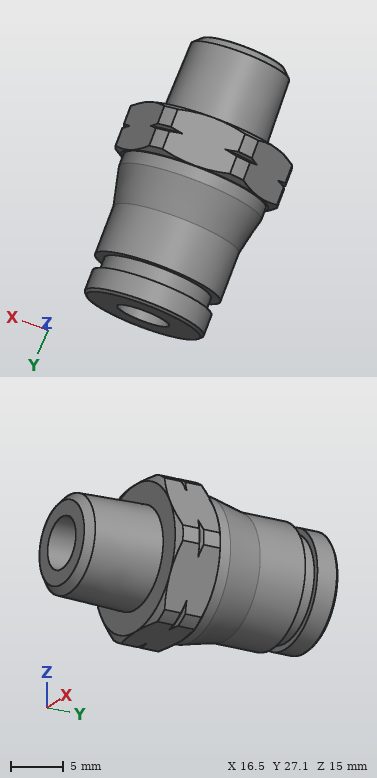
import cadquery as cq
import math

length = 27.1
tip_chamfer_length = 0.75
hex_length = 4.99
hex_front = 8.13
hex_back = hex_front + hex_length
collar_back = 14.35
flare_back = 18.15
body_back = 23.17
cap_length = 2.38
cap_chamfer = 0.27

bore_radius = 2.65
tip_radius = 4.23
thread_end_radius = 5.0
thread_taper = 1 / 16
collar_radius = 7.25
body_radius = 6.4
neck_radius = 5.45
cap_radius = 6.07

across_flats = 15.0
across_corners = 16.5
hex_chamfer_angle = 30.0
groove_depth = 0.43
groove_width = 0.45


def thread_radius(y):
    """Radius of the tapered thread at distance y from the tip."""
    return thread_end_radius + (y - tip_chamfer_length) * thread_taper / 2


def revolve_about_y(profile):
    return profile.close().revolve(360, (0, 0, 0), (0, 1, 0))


def turned_body():
    """Tapered thread, collar, conical shoulder, body, neck and release cap."""
    return revolve_about_y(
        cq.Workplane("XY")
        .moveTo(0, 0)
        .lineTo(tip_radius, 0)
        .lineTo(thread_end_radius, tip_chamfer_length)
        .lineTo(thread_radius(hex_front), hex_front)
        .lineTo(collar_radius, hex_front)
        .lineTo(collar_radius, collar_back)
        .lineTo(body_radius, flare_back)
        .lineTo(body_radius, body_back)
        .lineTo(neck_radius, body_back)
        .lineTo(neck_radius, length - cap_length)
        .lineTo(cap_radius, length - cap_length)
        .lineTo(cap_radius, length - cap_chamfer)
        .lineTo(cap_radius - cap_chamfer, length)
        .lineTo(0, length)
    )


def hexagon():
    """Hexagon with rounded corners, chamfered ends and a middle V groove."""
    prism = (
        cq.Workplane("XZ", origin=(0, hex_back, 0))
        .polygon(6, across_flats / math.cos(math.radians(30)))
        .extrude(hex_length)
    )
    face_radius = across_flats / 2
    corner_radius = across_corners / 2
    chamfer = (corner_radius - face_radius) * math.tan(math.radians(hex_chamfer_angle))
    groove_y = (hex_front + hex_back) / 2
    envelope = revolve_about_y(
        cq.Workplane("XY")
        .moveTo(0, hex_front)
        .lineTo(face_radius, hex_front)
        .lineTo(corner_radius, hex_front + chamfer)
        .lineTo(corner_radius, groove_y - groove_width / 2)
        .lineTo(corner_radius - groove_depth, groove_y)
        .lineTo(corner_radius, groove_y + groove_width / 2)
        .lineTo(corner_radius, hex_back - chamfer)
        .lineTo(face_radius, hex_back)
        .lineTo(0, hex_back)
    )
    return prism.intersect(envelope)


def bore():
    return cq.Workplane("XZ").circle(bore_radius).extrude(-length)


result = turned_body().union(hexagon()).cut(bore())